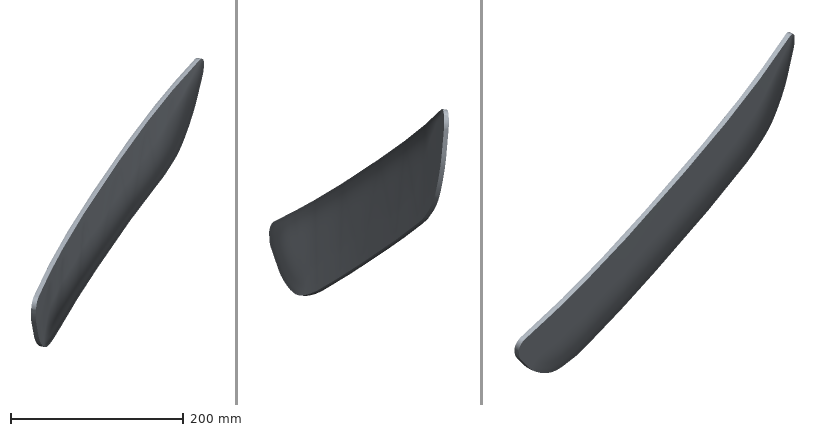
import cadquery as cq

length = 585.0
height = 108.0
depth = 23.5

thickness = 6.0
lean = 3.2
end_sweep = 14.5
bow_power = 2.5
bow_stations = 8

half_length = length / 2
top_z = height / 2
bottom_z = -height / 2
tip_drop = 15.0
corner_width = 11.5
corner_bulge = 3.5
flat_half_length = 169.5

lower_corner = [(287.0, 32.0), (269.0, 64.0), (251.5, 83.0), (226.0, 100.0), (200.0, 106.0)]


def bow(y):
    """Backward sweep of the plate at distance y from its middle."""
    return end_sweep * (abs(y) / half_length) ** bow_power


def plan_section(z, shift):
    """Bowed strip of constant thickness, seen from above."""
    stations = [half_length * i / bow_stations for i in range(-bow_stations, bow_stations + 1)]
    front = [(shift + bow(y), y) for y in stations]
    back = [(x + thickness, y) for x, y in reversed(front)]
    wire = (
        cq.Workplane("XY", origin=(0, 0, z))
        .moveTo(*front[0])
        .spline(front[1:], includeCurrent=True)
        .lineTo(*back[0])
        .spline(back[1:], includeCurrent=True)
        .close()
    )
    return wire.val()


def leaning_plate():
    """Bowed plate whose upper edge leans back."""
    front_x = -depth / 2
    sections = [plan_section(bottom_z, front_x), plan_section(top_z, front_x + lean)]
    return cq.Workplane(obj=cq.Solid.makeLoft(sections, True))


def outline_prism():
    """Symmetric plate outline, extruded along X through the whole depth."""
    right = [(y, top_z - drop) for y, drop in lower_corner]
    right.append((flat_half_length, bottom_z))
    left = [(-y, z) for y, z in reversed(right)]
    corner_y = half_length - corner_width
    tip_z = top_z - tip_drop
    bulge_y = half_length - corner_bulge
    bulge_z = top_z - corner_bulge
    downward = (0, -1)
    upward = (0, 1)
    along_bottom = (-1, 0)
    return (
        cq.Workplane("YZ", origin=(-depth, 0, 0))
        .moveTo(-corner_y, top_z)
        .lineTo(corner_y, top_z)
        .threePointArc((bulge_y, bulge_z), (half_length, tip_z))
        .spline(right, tangents=[downward, along_bottom], includeCurrent=True)
        .lineTo(*left[0])
        .spline(left[1:] + [(-half_length, tip_z)], tangents=[along_bottom, upward], includeCurrent=True)
        .threePointArc((-bulge_y, bulge_z), (-corner_y, top_z))
        .close()
        .extrude(2 * depth)
    )


result = leaning_plate().intersect(outline_prism())